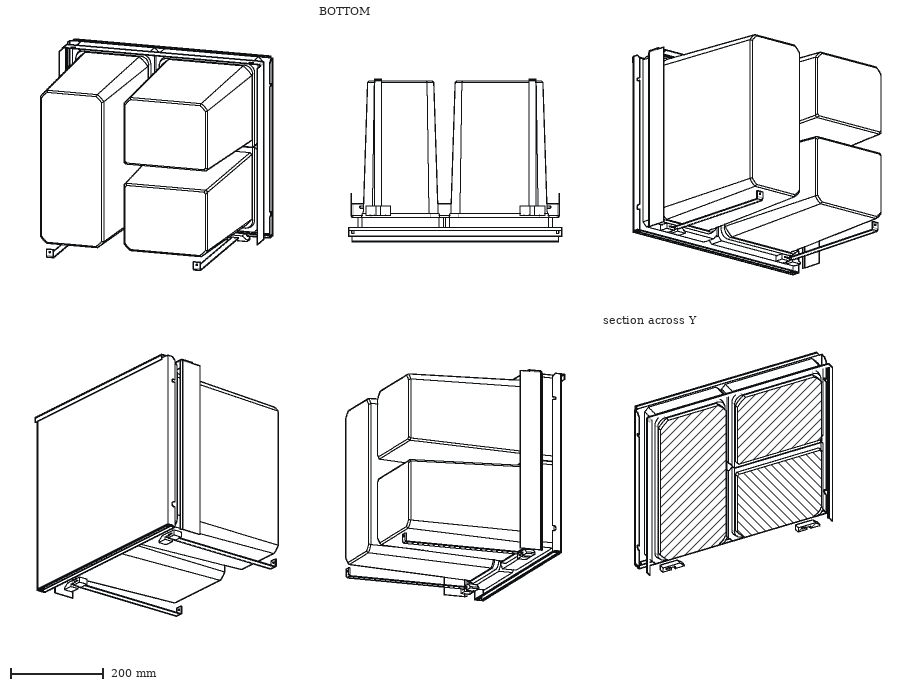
import cadquery as cq
import math

sheet = 1.5

panel_width = 460.0
panel_height = 397.5
panel_depth = 20.2
wall_corner = 7.5
notch_depth = 8.5
notches = [(342.0, 6.0), (53.5, 11.5)]
sill_height = 4.0
sill_depth = 13.0
drain_width = 4.0
drain_depth = 5.5
drain_x = 220.5
lip_width = 445.5
lip_top = 399.0
lip_reach = 11.0
lip_drop = 11.5

frame_width = 449.0
frame_top = 402.0
frame_foot = 3.5
frame_front = -41.0
frame_depth = 51.5
frame_lip_depth = 4.0
frame_lip_inset = 2.5
frame_bend = 4.0
strip_depth = 30.5
slot_x = 201.0
slot_y = -63.5
slot_length = 9.5
slot_width = 4.0

rim_y = -9.0
rim_underside = frame_front
bin_floor = -336.0
bins_bottom = 16.5
bins_top = 400.5
bins_side = 209.8
rim_chamfer = 9.0
narrow_width = 184.5
column_gap = 4.0
pair_gap = 1.5
step_inset = 8.0
step_draft = 2.0
step_height = 9.0
step_radius = 20.2
shoulder_inset = 11.5
body_taper = 9.0
shoulder_radius = 20.0
floor_radius = 14.5
inner_radius = 4.0
floor_chamfer = 3.5

arm_x = 166.0
arm_width = 15.0
arm_thickness = 2.0
arm_base = 7.0
arm_tab_top = 26.0
arm_tab_thickness = 3.0
arm_end = -339.5
arm_bend = 5.5
arm_hole = 3.0
arm_hole_z = 20.2
clip_front = -46.0
clip_depth = 20.2
clip_left = -26.0
clip_right_top = 15.5
clip_right_bottom = 27.0
clip_bottom = 1.5
clip_top = 13.5
clip_shoulder = 4.5
clip_slot_length = 10.0
clip_slot_height = 2.0
clip_notch = 9.0

ROUND = 1 - math.sqrt(0.5)
FLAT = 0.45


def block(x_min, x_max, y_min, y_max, z_min, z_max):
    """Plain box given by its limits."""
    size = (x_max - x_min, y_max - y_min, z_max - z_min)
    return cq.Workplane("XY").box(*size, centered=False).translate((x_min, y_min, z_min))


def rounded_outline(y, x_min, x_max, z_min, z_max, low_radius, high_radius, bend=ROUND):
    """Rectangle at depth y with one corner size below and one above.

    bend places the middle of each corner arc, as a fraction of the corner size from both edges.
    """
    low, high = low_radius, high_radius
    return (
        cq.Workplane("XZ", origin=(0, y, 0))
        .moveTo(x_min + low, z_min)
        .lineTo(x_max - low, z_min)
        .threePointArc((x_max - bend * low, z_min + bend * low), (x_max, z_min + low))
        .lineTo(x_max, z_max - high)
        .threePointArc((x_max - bend * high, z_max - bend * high), (x_max - high, z_max))
        .lineTo(x_min + high, z_max)
        .threePointArc((x_min + bend * high, z_max - bend * high), (x_min, z_max - high))
        .lineTo(x_min, z_min + low)
        .threePointArc((x_min + bend * low, z_min + bend * low), (x_min + low, z_min))
        .close()
    )


def loft_outlines(outlines):
    """Straight-sided solid through the given outlines."""
    wires = [outline.val() for outline in outlines]
    return cq.Workplane("XY").newObject([cq.Solid.makeLoft(wires, True)])


def make_panel():
    """Plate with side walls, bottom fold and top lip."""
    half = panel_width / 2
    plate = block(-half, half, -sheet, 0, 0, panel_height)

    wall = (
        cq.Workplane("YZ", origin=(-half, 0, 0))
        .polyline([
            (0, 0),
            (-panel_depth, 0),
            (-panel_depth, panel_height - wall_corner),
            (-panel_depth + wall_corner, panel_height),
            (0, panel_height),
        ])
        .close()
        .extrude(sheet)
    )
    for height, width in notches:
        notch = (
            cq.Workplane("YZ", origin=(-half, 0, 0))
            .center(-panel_depth, height)
            .slot2D(2 * notch_depth, width)
            .extrude(sheet)
        )
        wall = wall.cut(notch)

    sill = (
        cq.Workplane("YZ", origin=(-half, 0, 0))
        .polyline([
            (0, sill_height),
            (-sill_depth, sill_height),
            (-panel_depth, sheet),
            (-panel_depth, 0),
            (-sill_depth, sill_height - sheet),
            (0, sill_height - sheet),
        ])
        .close()
        .extrude(panel_width)
    )
    for x in (-drain_x, drain_x):
        sill = sill.cut(block(
            x - drain_width / 2, x + drain_width / 2,
            -sill_depth, drain_depth - sill_depth,
            0, sill_height,
        ))

    lip_half = lip_width / 2
    lip = block(-lip_half, lip_half, -sheet, lip_reach, lip_top - sheet, lip_top)
    lip = lip.union(block(-lip_half, lip_half, lip_reach - sheet, lip_reach, lip_top - lip_drop, lip_top))

    return plate.union(wall).union(wall.mirror("YZ")).union(sill).union(lip)


def frame_block(inset):
    """Solid under the frame sheet, bevelled towards +Y and rounded along its bends."""
    def section(y, gap):
        half = frame_width / 2 - gap
        radius = frame_bend - inset
        return rounded_outline(y, -half, half, -frame_top, frame_top - gap, radius, radius)

    bevel_end = frame_front - frame_lip_depth
    bevel = loft_outlines([section(frame_front, inset + frame_lip_inset), section(bevel_end, inset)])
    return bevel.union(section(bevel_end, inset).extrude(frame_depth - frame_lip_depth))


def make_frame():
    """Bevelled sheet bent over the bins, open at the bottom."""
    half = frame_width / 2
    frame = frame_block(0).cut(frame_block(sheet))
    frame = frame.intersect(block(
        -half, half, frame_front - frame_depth, frame_front, frame_foot, frame_top,
    ))
    frame = frame.cut(block(
        -half, half,
        frame_front - frame_depth, frame_front - strip_depth,
        frame_top - frame_bend, frame_top,
    ))
    slots = (
        cq.Workplane("XY", origin=(0, slot_y, frame_top - frame_bend))
        .pushPoints([(-slot_x, 0), (slot_x, 0)])
        .slot2D(slot_length, slot_width)
        .extrude(frame_bend)
    )
    return frame.cut(slots)


def make_bin(x_min, x_max, z_min, z_max, neighbour=None):
    """Bin filling the given rim; neighbour names the side ("below" or "above") of its twin."""
    low_outer = neighbour != "below"
    high_outer = neighbour != "above"

    rim = (
        block(x_min, x_max, rim_underside, rim_y, z_min, z_max)
        .edges("|Y")
        .chamfer(rim_chamfer)
    )

    def body_outline(y, inset, radius):
        return rounded_outline(
            y, x_min + inset, x_max - inset, z_min + inset, z_max - inset,
            radius if low_outer else inner_radius,
            radius if high_outer else inner_radius,
            FLAT,
        )

    low_reach = 0 if low_outer else -2 * step_radius
    high_reach = 0 if high_outer else 2 * step_radius

    def step_outline(y, inset):
        radius = step_radius + step_inset - inset
        return rounded_outline(
            y, x_min + inset, x_max - inset,
            z_min + low_reach + inset, z_max + high_reach - inset,
            radius, radius,
        )

    step_end = rim_underside - step_height
    step = loft_outlines([
        step_outline(rim_underside, step_inset),
        step_outline(step_end, step_inset + step_draft),
    ])
    step = step.intersect(block(x_min, x_max, step_end, rim_underside, z_min, z_max))

    floor_inset = shoulder_inset + body_taper
    body = loft_outlines([
        body_outline(step_end, shoulder_inset, shoulder_radius),
        body_outline(bin_floor + floor_chamfer, floor_inset, floor_radius),
        body_outline(bin_floor, floor_inset + floor_chamfer, floor_radius - floor_chamfer / 2),
    ])
    return rim.union(step).union(body)


def make_bins():
    """One tall bin on the left, two stacked bins on the right."""
    narrow_end = -bins_side + narrow_width
    pair_start = narrow_end + column_gap
    middle = (bins_bottom + bins_top) / 2
    return [
        make_bin(-bins_side, narrow_end, bins_bottom, bins_top),
        make_bin(pair_start, bins_side, bins_bottom, middle - pair_gap / 2, "above"),
        make_bin(pair_start, bins_side, middle + pair_gap / 2, bins_top, "below"),
    ]


def make_arm(x):
    """Flat bar along Y ending in an upright tab with a hole."""
    half = arm_width / 2
    start = clip_front - clip_depth
    bar = block(x - half, x + half, arm_end, start, arm_base, arm_base + arm_thickness)
    tab = block(x - half, x + half, arm_end, arm_end + arm_tab_thickness, arm_base, arm_tab_top)
    hole = (
        cq.Workplane("XZ", origin=(x, arm_end + arm_tab_thickness, arm_hole_z))
        .circle(arm_hole / 2)
        .extrude(arm_tab_thickness)
    )
    arm = bar.union(tab)
    arm = arm.edges("<Y and <Z").fillet(arm_bend)
    return arm.cut(hole)


def make_clip(x):
    """Block behind the arm with one slanted end, a side slot and a notch below the arm."""
    clip = (
        cq.Workplane("XZ", origin=(x, clip_front, 0))
        .polyline([
            (clip_left, clip_bottom),
            (clip_right_bottom, clip_bottom),
            (clip_right_bottom, clip_shoulder),
            (clip_right_top, clip_top),
            (clip_left, clip_top),
        ])
        .close()
        .extrude(clip_depth)
    )
    back = clip_front - clip_depth
    slot_end = x - arm_width / 2
    slot_top = arm_base + clip_slot_height
    slot = block(slot_end - clip_slot_length, slot_end, back, clip_front, arm_base, slot_top)
    notch = block(x - clip_notch / 2, x + clip_notch / 2, back, clip_front, clip_bottom, arm_base)
    return clip.cut(slot).cut(notch)


panel = make_panel()
frame = make_frame()
bins = make_bins()
arms = [make_arm(x) for x in (-arm_x, arm_x)]
clips = [make_clip(x) for x in (-arm_x, arm_x)]

bodies = [panel, frame, *bins, *arms, *clips]
result = cq.Compound.makeCompound([body.solids().val() for body in bodies])